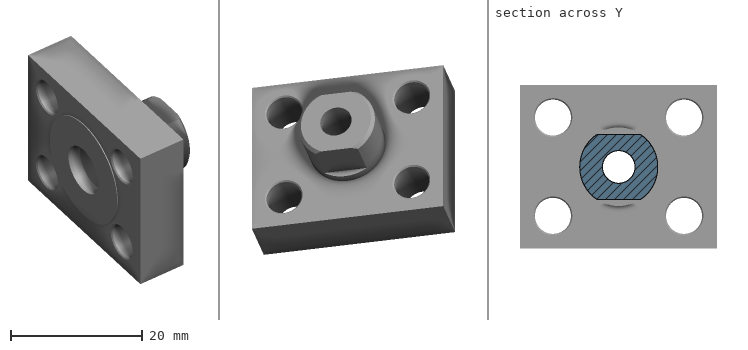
import cadquery as cq

plate_width = 30
plate_height = 25.0
plate_thickness = 8.0

pad_diameter = 18
pad_height = 0.15

spigot_diameter = 12
spigot_length = 7.83
flats_distance = 10.0
flats_length = 6.4
spigot_chamfer = 0.5

bore_diameter = 4.92
counterbore_diameter = 8.0
counterbore_depth = 2.1
taper_depth = (counterbore_diameter - bore_diameter) / 2

hole_diameter = 5.5
hole_chamfer = 0.2
hole_spacing_x = 20.0
hole_spacing_z = 15

spigot_end = plate_thickness + spigot_length
front_plane = cq.Workplane("XZ")


def make_plate():
    """Plate with four chamfered through holes."""
    plate = front_plane.rect(plate_width, plate_height).extrude(-plate_thickness)
    holes = (
        front_plane.rect(hole_spacing_x, hole_spacing_z, forConstruction=True)
        .vertices()
        .circle(hole_diameter / 2)
        .extrude(-plate_thickness)
    )
    return plate.cut(holes).edges("%CIRCLE").chamfer(hole_chamfer)


def make_spigot():
    """Round spigot with a chamfered end and flats facing +Z and -Z."""
    spigot = (
        front_plane.workplane(offset=-plate_thickness)
        .circle(spigot_diameter / 2)
        .extrude(-spigot_length)
        .faces(">Y")
        .chamfer(spigot_chamfer)
    )
    flats_envelope = (
        front_plane.workplane(offset=-spigot_end)
        .rect(spigot_diameter, flats_distance)
        .extrude(flats_length)
    )
    collar_envelope = (
        front_plane.workplane(offset=-plate_thickness)
        .circle(spigot_diameter / 2)
        .extrude(flats_length - spigot_length)
    )
    return spigot.intersect(flats_envelope.union(collar_envelope))


def make_bore():
    """Solid of the central hole, revolved about the Y axis."""
    bore_radius = bore_diameter / 2
    counterbore_radius = counterbore_diameter / 2
    counterbore_end = counterbore_depth - pad_height
    profile = [
        (0, -pad_height),
        (counterbore_radius, -pad_height),
        (counterbore_radius, counterbore_end),
        (bore_radius, counterbore_end + taper_depth),
        (bore_radius, spigot_end),
        (0, spigot_end),
    ]
    return cq.Workplane("XY").polyline(profile).close().revolve(360, (0, 0), (0, 1))


pad = front_plane.circle(pad_diameter / 2).extrude(pad_height)
result = make_plate().union(pad).union(make_spigot()).cut(make_bore())